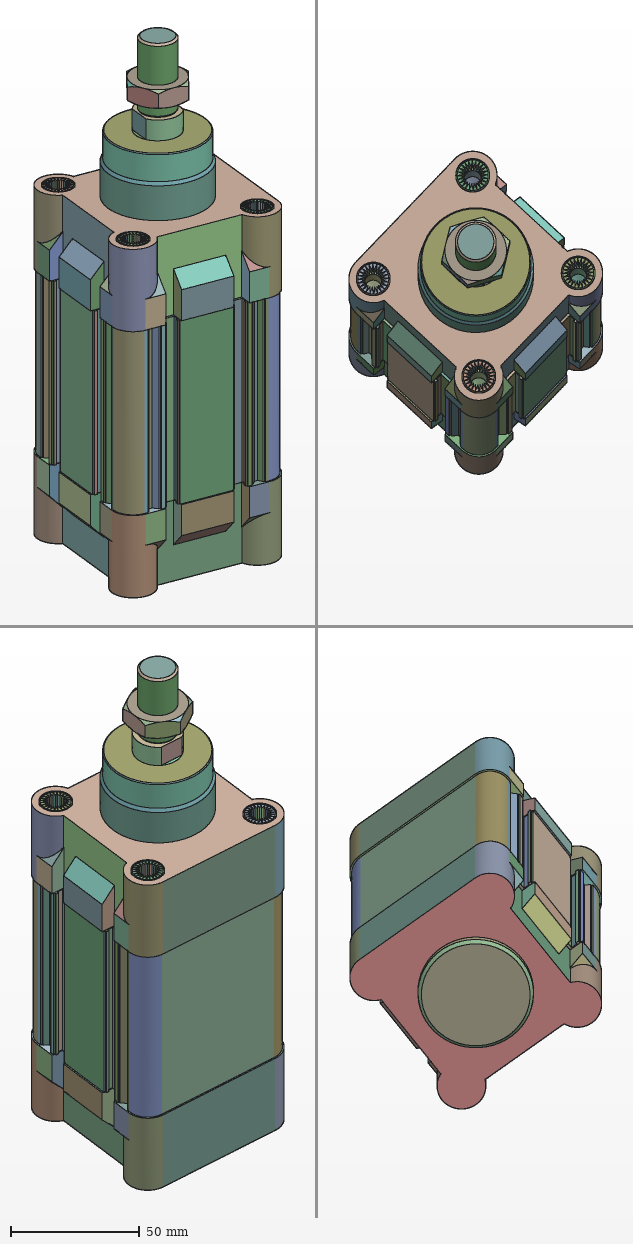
import cadquery as cq
import math

TOTAL_LENGTH = 224.0
SPIGOT_HEIGHT = 4.0
CAP_HEIGHT = 35.6
BARREL_LENGTH = 79.5
BARREL_BOTTOM = SPIGOT_HEIGHT + CAP_HEIGHT
BARREL_TOP = BARREL_BOTTOM + BARREL_LENGTH
CAP_TOP = BARREL_TOP + CAP_HEIGHT

WIDTH = 75.5
HALF_WIDTH = WIDTH / 2
RECESS_FACE = 31.5
SCREW_OFFSET = 28.2
POST_RADIUS = HALF_WIDTH - SCREW_OFFSET
PAD_HALF_WIDTH = 11.9
BLOCK_INNER = 19.0
RAISED_HEIGHT = 13.5
RAISED_TOTAL = 20.0

HEAD_DIAMETER = 13.2
HEAD_FACE_DIAMETER = 12.0
HEAD_BEVEL_HEIGHT = 0.7
SOCKET_ROOT_DIAMETER = 11.9
SOCKET_TEETH = 24
SOCKET_DEPTH = 8.0
THREAD_HOLE_DIAMETER = 6.7
THREAD_HOLE_DEPTH = 20.2
SOCKET_TIP_DIAMETER = THREAD_HOLE_DIAMETER
DRILL_HALF_ANGLE = 59
DRILL_POINT_HEIGHT = THREAD_HOLE_DIAMETER / 2 / math.tan(math.radians(DRILL_HALF_ANGLE))

BARREL_INSET = 0.7
BARREL_HALF_WIDTH = HALF_WIDTH - BARREL_INSET
BARREL_CORNER_RADIUS = POST_RADIUS - BARREL_INSET
REBATE_DEPTH = 0.7
SLOT_CENTRE = 15.5
SLOT_MOUTH_WIDTH = 5.2
SLOT_WIDTH = 6.5
SLOT_FLOOR = 32.7
SLOT_LIP_BACK = 35.2
REBATE_START = 20.5
REBATE_END = 26.7
GROOVE_START = 21.3
GROOVE_FLOOR_START = 23.3
GROOVE_FLOOR_END = 24.6
GROOVE_END = 26.0
GROOVE_DEPTH = REBATE_DEPTH + GROOVE_FLOOR_START - GROOVE_START

COLLAR_DIAMETER = 45.0
NECK_DIAMETER = 43.0
COLLAR_HEIGHT = 16.4
COLLAR_BEVEL_HEIGHT = 1.3
NECK_TOP = 183.2
NECK_CHAMFER = 0.5
SPIGOT_CHAMFER = 1.3

ROD_DIAMETER = 20.0
THREAD_DIAMETER = 16.0
THREAD_CHAMFER = 1.0
SHOULDER_Z = 192.2
ROD_FLAT_WIDTH = 17.0
ROD_FLAT_BOTTOM = NECK_TOP
RELIEF_DIAMETER = 15.0
RELIEF_HEIGHT = 0.7

NUT_BOTTOM = 198.2
NUT_HEIGHT = 8.0
NUT_FLATS = 24.0
NUT_FACE_DIAMETER = NUT_FLATS
NUT_CHAMFER_ANGLE = 30

SLOTTED_SIDES = (-90, 0, 90)


def disc(diameter, bottom, top):
    """Cylinder about Z between two heights."""
    return cq.Workplane().workplane(offset=bottom).circle(diameter / 2).extrude(top - bottom)


def slab(x_min, x_max, y_min, y_max, bottom, top):
    """Box between the given limits in X, Y and Z."""
    box = cq.Workplane().box(x_max - x_min, y_max - y_min, top - bottom, centered=False)
    return box.translate((x_min, y_min, bottom))


def turned(profile):
    """Solid of revolution about Z from (radius, height) points."""
    return cq.Workplane("XZ").polyline(profile).close().revolve()


def raised_block(x_min, x_max):
    """Beveled block standing on the recessed -Y wall, with its base at Z = 0."""
    section = [
        (0, 0),
        (-HALF_WIDTH, 0),
        (-HALF_WIDTH, RAISED_HEIGHT),
        (-RECESS_FACE, RAISED_TOTAL),
        (0, RAISED_TOTAL),
    ]
    return cq.Workplane("YZ").polyline(section).close().extrude(x_max - x_min).translate((x_min, 0, 0))


def end_cap():
    """Cap standing on Z = 0, with corner posts, a flat +Y side and three recessed sides."""
    cap = slab(-RECESS_FACE, RECESS_FACE, -RECESS_FACE, SCREW_OFFSET, 0, CAP_HEIGHT)
    cap = cap.union(slab(-SCREW_OFFSET, SCREW_OFFSET, 0, HALF_WIDTH, 0, CAP_HEIGHT))
    posts = (
        cq.Workplane()
        .rect(2 * SCREW_OFFSET, 2 * SCREW_OFFSET, forConstruction=True)
        .vertices()
        .circle(POST_RADIUS)
        .extrude(CAP_HEIGHT)
    )
    cap = cap.union(posts)
    for angle in SLOTTED_SIDES:
        for x_min, x_max in (
            (-SCREW_OFFSET, -BLOCK_INNER),
            (-PAD_HALF_WIDTH, PAD_HALF_WIDTH),
            (BLOCK_INNER, SCREW_OFFSET),
        ):
            block = raised_block(x_min, x_max)
            cap = cap.union(block.rotate((0, 0, 0), (0, 0, 1), angle))
    return cap


def side_slots(side):
    """T-slot and corner groove of the -Y side, on its +X half (side = 1) or -X half (side = -1)."""
    face = -BARREL_HALF_WIDTH
    rebate = face + REBATE_DEPTH
    mouth = SLOT_MOUTH_WIDTH / 2
    inner = SLOT_WIDTH / 2
    half_section = [
        (inner, face),
        (inner, rebate),
        (mouth, rebate),
        (mouth, -SLOT_LIP_BACK),
        (inner, -SLOT_LIP_BACK),
        (inner, -SLOT_FLOOR),
    ]
    section = half_section + [(-x, y) for x, y in reversed(half_section)]
    slot = cq.Workplane().polyline(section).close().extrude(BARREL_LENGTH).translate((SLOT_CENTRE, 0, 0))
    groove_section = [
        (REBATE_START, face),
        (REBATE_START, rebate),
        (GROOVE_START, rebate),
        (GROOVE_FLOOR_START, face + GROOVE_DEPTH),
        (GROOVE_FLOOR_END, face + GROOVE_DEPTH),
        (GROOVE_END, rebate),
        (REBATE_END, rebate),
        (REBATE_END, face),
    ]
    groove = cq.Workplane().polyline(groove_section).close().extrude(BARREL_LENGTH)
    cutter = slot.union(groove)
    return cutter if side > 0 else cutter.mirror("YZ")


def barrel():
    """Square profile with rounded corners, a flat +Y side and slots along the other three."""
    profile = (
        cq.Workplane()
        .rect(2 * BARREL_HALF_WIDTH, 2 * BARREL_HALF_WIDTH)
        .extrude(BARREL_LENGTH)
        .edges("|Z")
        .fillet(BARREL_CORNER_RADIUS)
    )
    for angle in SLOTTED_SIDES:
        for side in (-1, 1):
            profile = profile.cut(side_slots(side).rotate((0, 0, 0), (0, 0, 1), angle))
    return profile.translate((0, 0, BARREL_BOTTOM))


def screw_recess():
    """Beveled groove around a screw head, its toothed socket and threaded hole, with the mouth at Z = 0."""
    points = []
    for i in range(SOCKET_TEETH):
        for radius, turn in ((SOCKET_ROOT_DIAMETER / 2, i), (SOCKET_TIP_DIAMETER / 2, i + 0.5)):
            angle = 2 * math.pi * turn / SOCKET_TEETH
            points.append((radius * math.cos(angle), radius * math.sin(angle)))
    socket = cq.Workplane().polyline(points).close().extrude(-SOCKET_DEPTH)
    hole_radius = THREAD_HOLE_DIAMETER / 2
    hole = turned([
        (0, 0),
        (hole_radius, 0),
        (hole_radius, -THREAD_HOLE_DEPTH),
        (0, -THREAD_HOLE_DEPTH - DRILL_POINT_HEIGHT),
    ])
    head_groove = turned([
        (HEAD_FACE_DIAMETER / 2, 0),
        (HEAD_DIAMETER / 2, -HEAD_BEVEL_HEIGHT),
        (HEAD_DIAMETER / 2, 0),
    ])
    return socket.union(hole).union(head_groove)


def make_collar():
    """Collar on the front cap, beveled up to a slightly narrower neck."""
    bevel_top = CAP_TOP + COLLAR_HEIGHT
    return turned([
        (0, CAP_TOP),
        (COLLAR_DIAMETER / 2, CAP_TOP),
        (COLLAR_DIAMETER / 2, bevel_top - COLLAR_BEVEL_HEIGHT),
        (NECK_DIAMETER / 2, bevel_top),
        (NECK_DIAMETER / 2, NECK_TOP - NECK_CHAMFER),
        (NECK_DIAMETER / 2 - NECK_CHAMFER, NECK_TOP),
        (0, NECK_TOP),
    ])


def make_housing():
    """Barrel, end caps, collar and rear spigot in one piece, bored for the rod."""
    lower_cap = end_cap().mirror("XY").translate((0, 0, BARREL_BOTTOM))
    upper_cap = end_cap().translate((0, 0, BARREL_TOP))
    spigot = disc(COLLAR_DIAMETER, 0, SPIGOT_HEIGHT).faces("<Z").chamfer(SPIGOT_CHAMFER)
    housing = barrel().union(lower_cap).union(upper_cap).union(spigot).union(make_collar())
    for x in (-SCREW_OFFSET, SCREW_OFFSET):
        for y in (-SCREW_OFFSET, SCREW_OFFSET):
            housing = housing.cut(screw_recess().translate((x, y, CAP_TOP)))
    return housing.cut(disc(ROD_DIAMETER, BARREL_TOP, NECK_TOP))


def make_rod():
    """Piston rod with two wrench flats facing +Y and -Y and a threaded end modeled as a plain cylinder."""
    shank = disc(ROD_DIAMETER, BARREL_TOP, SHOULDER_Z)
    waste = slab(-ROD_DIAMETER, ROD_DIAMETER, ROD_FLAT_WIDTH / 2, ROD_DIAMETER, ROD_FLAT_BOTTOM, SHOULDER_Z)
    shank = shank.cut(waste).cut(waste.mirror("XZ"))
    thread_radius = THREAD_DIAMETER / 2
    thread = turned([
        (0, SHOULDER_Z),
        (RELIEF_DIAMETER / 2, SHOULDER_Z),
        (thread_radius, SHOULDER_Z + RELIEF_HEIGHT),
        (thread_radius, TOTAL_LENGTH - THREAD_CHAMFER),
        (thread_radius - THREAD_CHAMFER, TOTAL_LENGTH),
        (0, TOTAL_LENGTH),
    ])
    return shank.union(thread)


def make_nut():
    """Hexagon nut with flats facing +X and -X and its corners turned off to 30 degrees."""
    corner_diameter = NUT_FLATS / math.cos(math.pi / 6)
    hexagon = cq.Workplane().polygon(6, corner_diameter).extrude(NUT_HEIGHT).rotate((0, 0, 0), (0, 0, 1), 30)
    face_radius = NUT_FACE_DIAMETER / 2
    corner_radius = corner_diameter / 2
    drop = (corner_radius - face_radius) * math.tan(math.radians(NUT_CHAMFER_ANGLE))
    envelope = turned([
        (0, 0),
        (face_radius, 0),
        (corner_radius, drop),
        (corner_radius, NUT_HEIGHT - drop),
        (face_radius, NUT_HEIGHT),
        (0, NUT_HEIGHT),
    ])
    nut = hexagon.intersect(envelope).cut(disc(THREAD_DIAMETER, 0, NUT_HEIGHT))
    return nut.translate((0, 0, NUT_BOTTOM))


housing = make_housing()
rod = make_rod()
nut = make_nut()

result = cq.Compound.makeCompound([housing.val(), rod.val(), nut.val()])